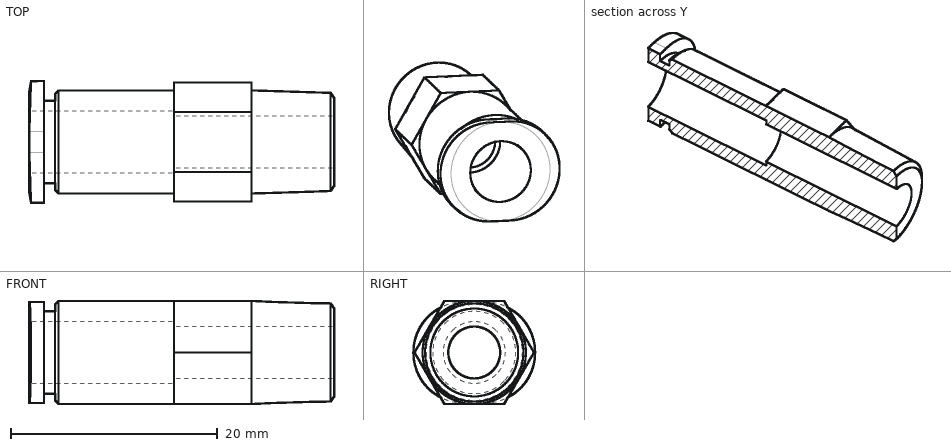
import cadquery as cq
import math

overall_length = 29.5
collar_thickness = 1.45
body_start = 2.5
hex_start = 14.0
hex_length = 7.5
hex_end = hex_start + hex_length

collar_width = 11.8
collar_height = 9.8
collar_front_angle = 10.0
collar_front_rise = (collar_width - collar_height) / 2 * math.tan(math.radians(collar_front_angle))
neck_diameter = 8.0

body_diameter = 10.0
body_chamfer = 0.35
hex_across_flats = 10.0
hex_across_corners = hex_across_flats / math.cos(math.radians(30))
thread_diameter = 10.0
thread_taper = 1 / 16
thread_chamfer_length = 0.35
thread_end_diameter = 8.5

socket_diameter = 6.0
socket_depth = hex_start
passage_diameter = 5.0


def disc(diameter, start, end):
    """Cylinder on the X axis between two stations."""
    return cq.Workplane("YZ", origin=(start, 0, 0)).circle(diameter / 2).extrude(end - start)


def make_collar():
    oval = cq.Workplane("YZ").slot2D(collar_width, collar_height).extrude(collar_thickness)
    front_radius = collar_height / 2
    full_radius = collar_width / 2
    envelope = (
        cq.Workplane("XY")
        .polyline([
            (0, 0),
            (0, front_radius),
            (collar_front_rise, full_radius),
            (collar_thickness, full_radius),
            (collar_thickness, 0),
        ])
        .close()
        .revolve(360, (0, 0, 0), (1, 0, 0))
    )
    return oval.intersect(envelope)


def make_body():
    return disc(body_diameter, body_start, hex_start).faces("<X").chamfer(body_chamfer)


def make_hex():
    return (
        cq.Workplane("YZ", origin=(hex_start, 0, 0))
        .polygon(6, hex_across_corners)
        .extrude(hex_length)
    )


def make_thread():
    chamfer_start = overall_length - thread_chamfer_length
    base_radius = thread_diameter / 2
    tapered_radius = base_radius - thread_taper * (chamfer_start - hex_end) / 2
    return (
        cq.Workplane("XY")
        .polyline([
            (hex_end, 0),
            (hex_end, base_radius),
            (chamfer_start, tapered_radius),
            (overall_length, thread_end_diameter / 2),
            (overall_length, 0),
        ])
        .close()
        .revolve(360, (0, 0, 0), (1, 0, 0))
    )


def make_bore():
    socket = disc(socket_diameter, 0, socket_depth)
    passage = disc(passage_diameter, socket_depth, overall_length)
    return socket.union(passage)


neck = disc(neck_diameter, collar_thickness, body_start)
outside = make_collar().union(neck).union(make_body()).union(make_hex()).union(make_thread())
result = outside.cut(make_bore())